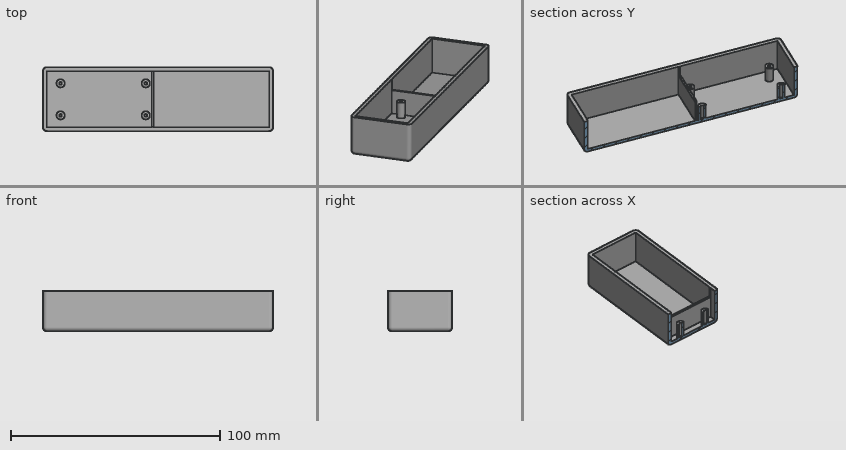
import cadquery as cq

length = 110
width = 30.7
height = 19.4
wall = 2.0
floor = 2.0
edge_radius = 2.0

divider_thickness = 1.0
divider_center_x = -2.5
divider_top_drop = 5.5
lip_depth = 0.1

post_diameter = 4.0
post_hole_diameter = 1.3
post_height = 8.0
post_spacing_x = 40.7
post_spacing_y = 15.3
post_center_x = -26.2
post_center_y = -0.1

cavity_width = width - 2 * wall


def make_tray():
    """Open-topped box with rounded upright and bottom edges."""
    body = cq.Workplane("XY").box(length, width, height, centered=(True, True, False))
    body = body.edges("|Z or <Z").fillet(edge_radius)
    cavity = (
        cq.Workplane("XY", origin=(0, 0, floor))
        .box(length - 2 * wall, cavity_width, height, centered=(True, True, False))
    )
    return body.cut(cavity)


def make_divider():
    """Full-height cross wall, notched to leave a thin lip up each side wall."""
    divider_height = height - floor
    cross_wall = (
        cq.Workplane("XY", origin=(divider_center_x, 0, floor))
        .box(divider_thickness, cavity_width, divider_height, centered=(True, True, False))
    )
    notch = (
        cq.Workplane("XY", origin=(divider_center_x, 0, height - divider_top_drop))
        .box(divider_thickness, cavity_width - 2 * lip_depth, divider_top_drop, centered=(True, True, False))
    )
    return cross_wall.cut(notch)


def make_posts():
    """Four standoffs with pilot holes that end at the floor."""
    return (
        cq.Workplane("XY", origin=(post_center_x, post_center_y, floor))
        .rarray(post_spacing_x, post_spacing_y, 2, 2)
        .circle(post_diameter / 2)
        .circle(post_hole_diameter / 2)
        .extrude(post_height)
    )


result = make_tray().union(make_divider()).union(make_posts())